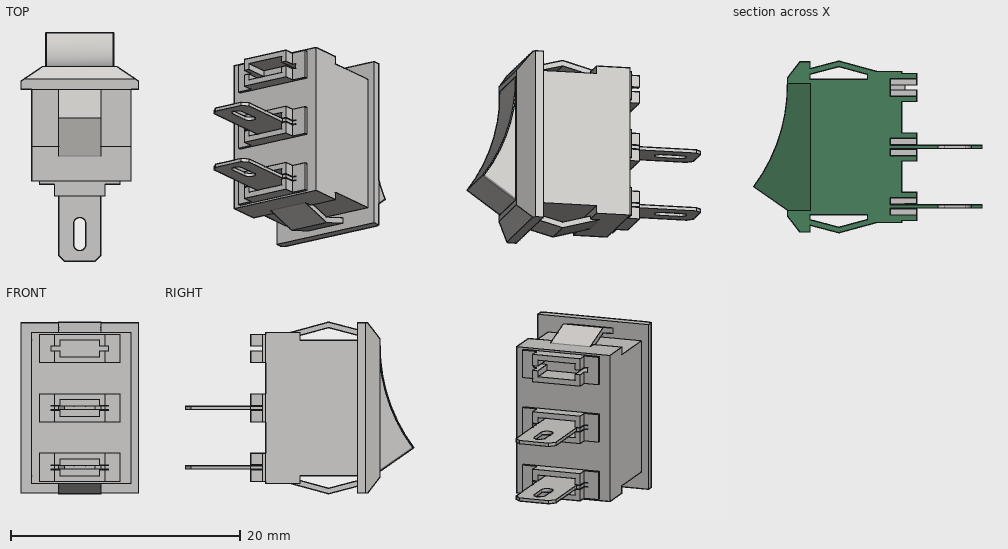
import cadquery as cq


overall_length = 19.96

bezel_width = 10.3
bezel_height = 14.9
bezel_depth = 2.0
face_width = 6.5
face_height = 12.05
side_rim_depth = 0.72
end_rim_depth = 0.9

body_width = 8.68
body_offset = 0.15
neck_height = 11.85
neck_depth = 4.99
block_height = 13.21
body_depth = 8.0

clip_width = 3.7
clip_thickness = 0.5
clip_peak_z = 7.5
clip_peak_y = -2.51
clip_root_z = 6.85
clip_end_y = -5.8

socket_pitch = 5.19
pad_width = 7.07
socket_height = 2.48
pad_depth = 0.3
collar_width = 4.41
collar_depth = 1.02
window_width = 3.45
window_height = 1.5
slot_width = 5.0
slot_height = 0.42
socket_hole_depth = 2.32
pad_y = -body_depth - pad_depth
collar_y = pad_y - collar_depth
socket_floor_y = collar_y + socket_hole_depth

blade_width = clip_width
blade_thickness = 0.3
blade_tip_y = -15.0
tip_chamfer = 0.5
eye_width = 1.04
eye_length = 2.87
eye_center_y = -12.63

rocker_width = 6.0
rocker_height = 11.05
rocker_tip_y = blade_tip_y + overall_length
rocker_tip_z = -3.47
rocker_mid_y = 3.01
rocker_round = 0.1
recess_floor_y = 0


def block(width, height, y_rear, y_front, x=0, z=0):
    """Box centred on x and z that spans y_rear to y_front."""
    size_y = y_front - y_rear
    return cq.Workplane("XY").box(width, size_y, height).translate((x, (y_rear + y_front) / 2, z))


def bevelled_prism(plane, size, face_size, rim_depth, length):
    """Prism with a straight rim and a bevel, extruded symmetrically to length."""
    half, half_face = size / 2, face_size / 2
    points = [
        (-half, 0), (half, 0), (half, rim_depth),
        (half_face, bezel_depth), (-half_face, bezel_depth), (-half, rim_depth),
    ]
    return cq.Workplane(plane).polyline(points).close().extrude(length / 2, both=True)


def make_bezel():
    side_bevels = bevelled_prism("XY", bezel_width, face_width, side_rim_depth, bezel_height)
    end_bevels = bevelled_prism("ZY", bezel_height, face_height, end_rim_depth, bezel_width)
    recess = block(rocker_width, rocker_height, recess_floor_y, bezel_depth)
    return side_bevels.intersect(end_bevels).cut(recess)


def make_body():
    neck = block(body_width, neck_height, -neck_depth, 0, x=body_offset)
    rear_block = block(body_width, block_height, -body_depth, -neck_depth, x=body_offset)
    return neck.union(rear_block)


def make_top_clip():
    outer = [(0, clip_root_z), (clip_peak_y, clip_peak_z), (clip_end_y, block_height / 2)]
    inner = [(y, z - clip_thickness) for y, z in reversed(outer)]
    return cq.Workplane("YZ").polyline(outer + inner).close().extrude(clip_width / 2, both=True)


def make_socket(z):
    pad = block(pad_width, socket_height, pad_y, -body_depth, z=z)
    collar = block(collar_width, socket_height, collar_y, pad_y, z=z)
    return pad.union(collar)


def make_socket_hole(z):
    window = block(window_width, window_height, collar_y, socket_floor_y, z=z)
    slot = block(slot_width, slot_height, collar_y, socket_floor_y, z=z)
    return window.union(slot)


def make_terminal(z):
    """Stepped blade, flush with the pad and the collar and joined to the ends of the slot."""
    root = block(slot_width, blade_thickness, pad_y, socket_floor_y)
    shoulder = block(collar_width, blade_thickness, collar_y, pad_y)
    blade = block(blade_width, blade_thickness, blade_tip_y, collar_y)
    blade = blade.faces("<Y").edges("|Z").chamfer(tip_chamfer)
    eye = (
        cq.Workplane("XY")
        .center(0, eye_center_y)
        .slot2D(eye_length, eye_width, 90)
        .extrude(blade_thickness, both=True)
    )
    return root.union(shoulder).union(blade).cut(eye).translate((0, 0, z))


def make_housing():
    top_clip = make_top_clip()
    housing = make_bezel().union(make_body()).union(top_clip).union(top_clip.mirror("XY"))
    for z in (socket_pitch, 0, -socket_pitch):
        housing = housing.union(make_socket(z)).cut(make_socket_hole(z))
    for z in (0, -socket_pitch):
        housing = housing.union(make_terminal(z))
    return housing


def make_rocker():
    half_height = rocker_height / 2
    rocker = (
        cq.Workplane("YZ")
        .moveTo(recess_floor_y, -half_height)
        .lineTo(bezel_depth, -half_height)
        .lineTo(rocker_tip_y, rocker_tip_z)
        .threePointArc((rocker_mid_y, 0), (bezel_depth, half_height))
        .lineTo(recess_floor_y, half_height)
        .close()
        .extrude(rocker_width / 2, both=True)
    )
    exposed = cq.selectors.BoxSelector(
        (-rocker_width, bezel_depth, -rocker_height),
        (rocker_width, rocker_tip_y, rocker_height),
    )
    return rocker.faces("<X or >X").edges(exposed).fillet(rocker_round)


housing = make_housing()
rocker = make_rocker()

result = cq.Compound.makeCompound([housing.val(), rocker.val()])